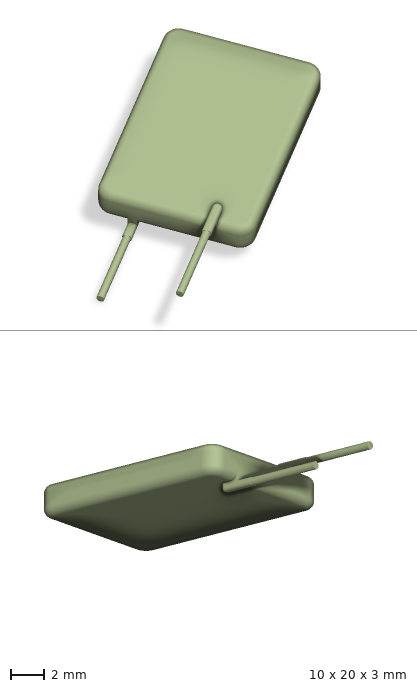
import cadquery as cq

BODY_WIDTH = 10.0
BODY_LENGTH = 14.0
BODY_THICKNESS = 2.0
BODY_CORNER_RADIUS = 1.0
BODY_EDGE_RADIUS = 0.5

LEAD_PITCH = 5.08
WIRE_DIAMETER = 0.5
WIRE_REACH = 6.0

BEAD_WIDTH = 0.6
BEAD_REACH = 1.0
BEAD_EDGE_RADIUS = 0.2
BEAD_CAP_INSET = 1.0

BODY_FRONT_Y = -BODY_LENGTH / 2
BODY_TOP_Z = BODY_THICKNESS / 2
BEAD_ROOT_Z = BODY_TOP_Z - BODY_EDGE_RADIUS
LEAD_X = LEAD_PITCH / 2
WIRE_Z = BODY_TOP_Z + WIRE_DIAMETER / 2
BEAD_TOP_Z = BODY_TOP_Z + WIRE_DIAMETER


def make_body():
    return (
        cq.Workplane("XY")
        .box(BODY_WIDTH, BODY_LENGTH, BODY_THICKNESS)
        .edges("|Z")
        .fillet(BODY_CORNER_RADIUS)
        .faces("<Z or >Z")
        .edges()
        .fillet(BODY_EDGE_RADIUS)
    )


def make_bead_on_body():
    """Rib on the body face: round cap at the rear, flush with the body at the front."""
    half_width = BEAD_WIDTH / 2
    cap_y = BODY_FRONT_Y + BEAD_CAP_INSET
    return (
        cq.Workplane("XY", origin=(LEAD_X, 0, BEAD_ROOT_Z))
        .moveTo(-half_width, BODY_FRONT_Y)
        .lineTo(half_width, BODY_FRONT_Y)
        .lineTo(half_width, cap_y)
        .threePointArc((0, cap_y + half_width), (-half_width, cap_y))
        .close()
        .extrude(BEAD_TOP_Z - BEAD_ROOT_Z)
        .faces(">Z")
        .edges("not <Y")
        .fillet(BEAD_EDGE_RADIUS)
    )


def make_bead_sleeve():
    """Rounded sleeve around the wire in front of the body."""
    return (
        cq.Workplane("XZ", origin=(LEAD_X, BODY_FRONT_Y, WIRE_Z))
        .rect(BEAD_WIDTH, WIRE_DIAMETER)
        .extrude(BEAD_REACH)
        .edges("|Y")
        .fillet(BEAD_EDGE_RADIUS)
    )


def make_wire():
    return (
        cq.Workplane("XZ", origin=(LEAD_X, BODY_FRONT_Y + BEAD_CAP_INSET, WIRE_Z))
        .circle(WIRE_DIAMETER / 2)
        .extrude(BEAD_CAP_INSET + WIRE_REACH)
    )


def make_upper_lead():
    return make_bead_on_body().union(make_bead_sleeve()).union(make_wire())


upper_lead = make_upper_lead()
lower_lead = upper_lead.rotate((0, 0, 0), (0, 1, 0), 180)
result = make_body().union(upper_lead).union(lower_lead)